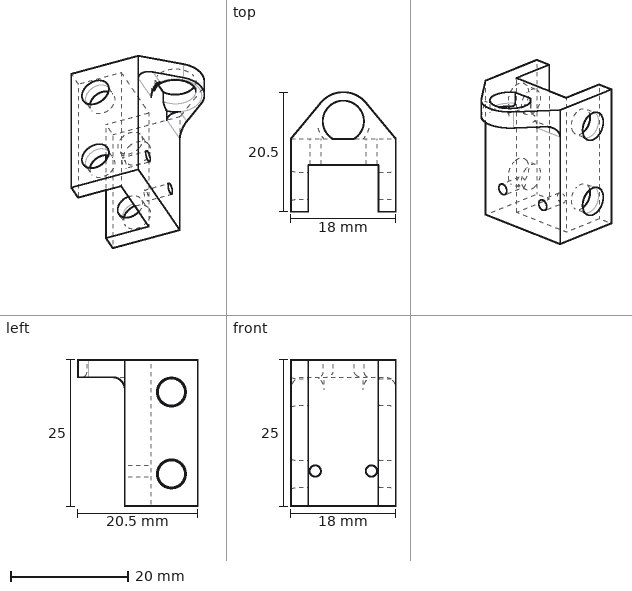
import cadquery as cq
import math

wall = 3.0
channel_width = 11.96
body_width = channel_width + 2 * wall
body_depth = 12.5
web_thickness = 4.5
height = 25.0

lug_thickness = 3.0
lug_radius = 5.0
lug_reach = 8.0
lug_center_y = lug_reach - lug_radius
lug_hole_diameter = 7.0
lug_hole_rounding = 1.0
lug_fillet = 2.0

side_hole_diameter = 4.6
side_hole_mouth_diameter = 5.0
side_hole_taper_depth = 1.0
side_hole_y = -8.0
side_hole_heights = (5.5, 19.5)

web_hole_diameter = 1.9
web_hole_spacing = 9.6
web_hole_height = 6.0

quarter_arc_inset = 1 - math.sqrt(0.5)


def make_body():
    """U-shaped channel standing on Z = 0."""
    block = cq.Workplane("XY").box(
        body_width, body_depth, height, centered=(True, False, False)
    ).translate((0, -body_depth, 0))
    channel = cq.Workplane("XY").box(
        channel_width, body_depth - web_thickness, height, centered=(True, False, False)
    ).translate((0, -body_depth, 0))
    return block.cut(channel)


def make_lug():
    """Plate with a round tip and straight flanks tangent to it, filleted to the body below."""
    half_width = body_width / 2
    corner_distance = math.hypot(half_width, lug_center_y)
    tangent_angle = math.acos(lug_radius / corner_distance) - math.atan2(lug_center_y, half_width)
    tangent_x = lug_radius * math.cos(tangent_angle)
    tangent_y = lug_center_y + lug_radius * math.sin(tangent_angle)
    outline = (
        cq.Workplane("XY")
        .moveTo(-half_width, 0)
        .lineTo(-tangent_x, tangent_y)
        .threePointArc((0, lug_reach), (tangent_x, tangent_y))
        .lineTo(half_width, 0)
        .close()
        .extrude(height)
    )

    underside = height - lug_thickness
    fillet_middle = lug_fillet * quarter_arc_inset
    side_profile = (
        cq.Workplane("YZ")
        .moveTo(0, height)
        .lineTo(lug_reach, height)
        .lineTo(lug_reach, underside)
        .lineTo(lug_fillet, underside)
        .threePointArc((fillet_middle, underside - fillet_middle), (0, underside - lug_fillet))
        .close()
        .extrude(half_width, both=True)
    )

    bore_radius = lug_hole_diameter / 2
    mouth_radius = bore_radius + lug_hole_rounding
    rounding_middle = lug_hole_rounding * quarter_arc_inset
    hole = (
        cq.Workplane("XZ", origin=(0, lug_center_y, 0))
        .lineTo(mouth_radius, 0)
        .lineTo(mouth_radius, underside)
        .threePointArc(
            (bore_radius + rounding_middle, underside + rounding_middle),
            (bore_radius, underside + lug_hole_rounding),
        )
        .lineTo(bore_radius, height)
        .lineTo(0, height)
        .close()
        .revolve(360, (0, 0, 0), (0, 1, 0))
    )
    return outline.intersect(side_profile).cut(hole)


def make_side_hole(z):
    """Cutter for the pair of aligned holes through both walls at height z."""
    half_width = body_width / 2
    mouth_radius = side_hole_mouth_diameter / 2
    bore_radius = side_hole_diameter / 2
    bore_end = half_width - side_hole_taper_depth
    return (
        cq.Workplane("XY", origin=(0, side_hole_y, z))
        .moveTo(-half_width, 0)
        .lineTo(-half_width, mouth_radius)
        .lineTo(-bore_end, bore_radius)
        .lineTo(bore_end, bore_radius)
        .lineTo(half_width, mouth_radius)
        .lineTo(half_width, 0)
        .close()
        .revolve(360, (0, 0, 0), (1, 0, 0))
    )


def make_web_holes():
    """Cutter for the two small holes through the web along Y."""
    return (
        cq.Workplane("XZ", origin=(0, 0, web_hole_height))
        .pushPoints([(-web_hole_spacing / 2, 0), (web_hole_spacing / 2, 0)])
        .circle(web_hole_diameter / 2)
        .extrude(web_thickness)
    )


result = make_body().union(make_lug())
for hole_height in side_hole_heights:
    result = result.cut(make_side_hole(hole_height))
result = result.cut(make_web_holes())